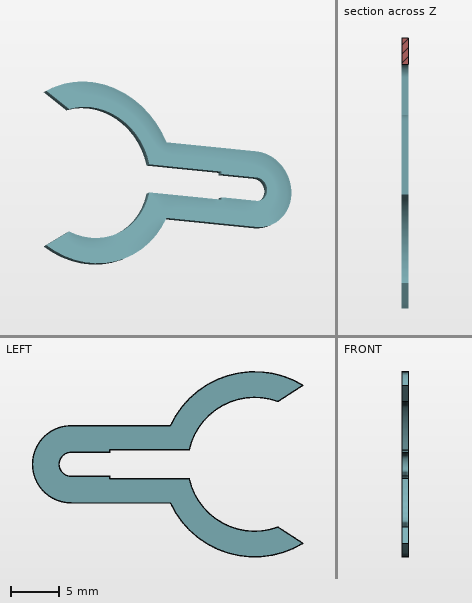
import cadquery as cq
import math

thickness = 0.7
overall_length = 28.0
jaw_outer_radius = 9.59
jaw_inner_radius = 6.92
bow_radius = 4.0
bow_to_jaw = 18.98
slot_half_height = 1.23
throat_half_height = 1.48
narrow_slot_length = 4.0
inner_tip_reach = 2.4

outer_tip_reach = overall_length - bow_radius - bow_to_jaw
step_y = bow_to_jaw - narrow_slot_length


def leg(radius, side):
    """Second leg of a right triangle with the jaw radius as hypotenuse."""
    return math.sqrt(radius**2 - side**2)


def on_jaw(radius, degrees):
    """Point on a jaw circle, with the angle measured from +Y toward +Z."""
    angle = math.radians(degrees)
    return (radius * math.cos(angle), radius * math.sin(angle))


def mirrored(point):
    """The matching point on the lower arm."""
    return (point[0], -point[1])


stem_bow_end = (bow_to_jaw, bow_radius)
stem_jaw_end = (leg(jaw_outer_radius, bow_radius), bow_radius)
outer_tip = (-outer_tip_reach, leg(jaw_outer_radius, outer_tip_reach))
inner_tip = (-inner_tip_reach, leg(jaw_inner_radius, inner_tip_reach))
throat_jaw_end = (leg(jaw_inner_radius, throat_half_height), throat_half_height)
throat_step = (step_y, throat_half_height)
slot_step = (step_y, slot_half_height)
slot_bow_end = (bow_to_jaw, slot_half_height)

jaw_arc_middle = 70.0
outer_middle = on_jaw(jaw_outer_radius, jaw_arc_middle)
inner_middle = on_jaw(jaw_inner_radius, jaw_arc_middle)

result = (
    cq.Workplane("YZ")
    .moveTo(*mirrored(outer_tip))
    .threePointArc(mirrored(outer_middle), mirrored(stem_jaw_end))
    .lineTo(*mirrored(stem_bow_end))
    .threePointArc((bow_to_jaw + bow_radius, 0), stem_bow_end)
    .lineTo(*stem_jaw_end)
    .threePointArc(outer_middle, outer_tip)
    .lineTo(*inner_tip)
    .threePointArc(inner_middle, throat_jaw_end)
    .lineTo(*throat_step)
    .lineTo(*slot_step)
    .lineTo(*slot_bow_end)
    .threePointArc((bow_to_jaw + slot_half_height, 0), mirrored(slot_bow_end))
    .lineTo(*mirrored(slot_step))
    .lineTo(*mirrored(throat_step))
    .lineTo(*mirrored(throat_jaw_end))
    .threePointArc(mirrored(inner_middle), mirrored(inner_tip))
    .close()
    .extrude(thickness / 2, both=True)
)